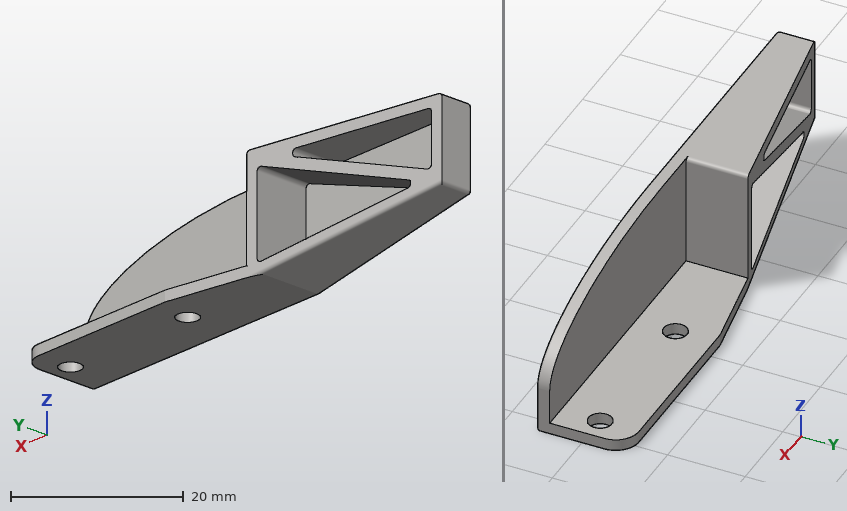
import cadquery as cq
import math

LENGTH = 64.25
DEPTH = 11.8
HEIGHT = 16.0

FRONT_WALL = 1.75
NOSE_LENGTH = 30.0
NOSE_HEIGHT = 10.0

TAPER_ANGLE = math.radians(10)
TAPER_SLOPE = math.tan(TAPER_ANGLE)
UNDERSIDE_TAPER_LENGTH = 26.0
END_DEPTH = 4.8
BACK_TAPER_LENGTH = (DEPTH - END_DEPTH) / TAPER_SLOPE

BLOCK_LENGTH = 28.0
BLOCK_WALL = 1.5
EDGE_RADIUS = 0.5

RIB_ANGLE = math.radians(19)
UPPER_POCKET_END = 21.4
LOWER_POCKET_START = 4.5

PLATE_THICKNESS = 1.5
PLATE_CORNER_RADIUS = 3.0
HOLE_DIAMETER = 3.0
HOLE_SPACING = 20.0
HOLE_END_MARGIN = 3.0
HOLE_BACK_MARGIN = 5.0


def underside_height(x):
    """Height of the slanted underside at position x."""
    return (UNDERSIDE_TAPER_LENGTH - x) * TAPER_SLOPE


def pocket_floor_height(x):
    """Height of the lower pocket's slanted floor, one wall above the underside."""
    return underside_height(x) + BLOCK_WALL / math.cos(TAPER_ANGLE)


def rib_bottom_height(x):
    """Height of the rib's lower face, which rises from the lower corner of the end face."""
    return underside_height(0) + x * math.tan(RIB_ANGLE)


def rib_top_height(x):
    """Height of the rib's upper face at position x."""
    return rib_bottom_height(x) + BLOCK_WALL / math.cos(RIB_ANGLE)


def extrude_back(outline, depth):
    """Extrude an XZ outline from its plane toward +Y."""
    return outline.extrude(-depth)


def make_side_prism():
    """Side outline over the full depth: tapered underside and elliptical nose."""
    outline = (
        cq.Workplane("XZ")
        .moveTo(LENGTH, HEIGHT - NOSE_HEIGHT)
        .ellipseArc(NOSE_LENGTH, NOSE_HEIGHT, 0, 90)
        .lineTo(0, HEIGHT)
        .lineTo(0, underside_height(0))
        .lineTo(UNDERSIDE_TAPER_LENGTH, 0)
        .lineTo(LENGTH, 0)
        .close()
    )
    return extrude_back(outline, DEPTH)


def make_plan_prism():
    """Plan outline over the full height: slanted back and one rounded corner."""
    return (
        cq.Workplane("XY")
        .lineTo(LENGTH, 0)
        .lineTo(LENGTH, DEPTH - PLATE_CORNER_RADIUS)
        .radiusArc((LENGTH - PLATE_CORNER_RADIUS, DEPTH), -PLATE_CORNER_RADIUS)
        .lineTo(BACK_TAPER_LENGTH, DEPTH)
        .lineTo(0, END_DEPTH)
        .close()
        .extrude(HEIGHT)
    )


def make_plate_clearance():
    """Open space above the mounting plate, behind the front wall."""
    return cq.Workplane("XY").box(
        LENGTH - BLOCK_LENGTH, DEPTH - FRONT_WALL, HEIGHT - PLATE_THICKNESS, centered=False
    ).translate((BLOCK_LENGTH, FRONT_WALL, PLATE_THICKNESS))


def make_pocket(corners):
    """Pocket with rounded corners, open at the back and closed by the front wall."""
    outline = cq.Workplane("XZ", origin=(0, FRONT_WALL, 0)).polyline(corners).close()
    return extrude_back(outline, DEPTH - FRONT_WALL).edges("|Y").fillet(EDGE_RADIUS)


def make_upper_pocket():
    """Pocket between the rib and the roof of the block."""
    roof = HEIGHT - BLOCK_WALL
    return make_pocket([
        (BLOCK_WALL, roof),
        (BLOCK_WALL, rib_top_height(BLOCK_WALL)),
        (UPPER_POCKET_END, rib_top_height(UPPER_POCKET_END)),
        (UPPER_POCKET_END, roof),
    ])


def make_lower_pocket():
    """Pocket between the rib and the floor of the block."""
    end = BLOCK_LENGTH - BLOCK_WALL
    return make_pocket([
        (LOWER_POCKET_START, rib_bottom_height(LOWER_POCKET_START)),
        (LOWER_POCKET_START, pocket_floor_height(LOWER_POCKET_START)),
        (end, pocket_floor_height(end)),
        (end, rib_bottom_height(end)),
    ])


def make_holes():
    """Two screw holes through the mounting plate."""
    last_x = LENGTH - HOLE_END_MARGIN
    hole_y = DEPTH - HOLE_BACK_MARGIN
    return (
        cq.Workplane("XY")
        .pushPoints([(last_x - HOLE_SPACING, hole_y), (last_x, hole_y)])
        .circle(HOLE_DIAMETER / 2)
        .extrude(PLATE_THICKNESS)
    )


def edges_near(points):
    """Selector for the edges whose midpoints are closest to the given points."""
    selector = cq.selectors.NearestToPointSelector(points[0])
    for point in points[1:]:
        selector = selector + cq.selectors.NearestToPointSelector(point)
    return selector


def round_edges(body):
    """Round the front outline, the narrow end, the underside's back edge and the step."""
    taper_middle = UNDERSIDE_TAPER_LENGTH / 2
    block_back = END_DEPTH + BLOCK_LENGTH * TAPER_SLOPE
    picks = edges_near([
        (0, END_DEPTH / 2, HEIGHT),
        (0, END_DEPTH / 2, underside_height(0)),
        (taper_middle, END_DEPTH + taper_middle * TAPER_SLOPE, underside_height(taper_middle)),
        (BLOCK_LENGTH, (FRONT_WALL + block_back) / 2, HEIGHT),
    ])
    front_outline = body.faces("<Y").edges()
    return front_outline.add(body.edges(picks)).fillet(EDGE_RADIUS)


body = make_side_prism().intersect(make_plan_prism()).cut(make_plate_clearance())
body = round_edges(body)
result = body.cut(make_upper_pocket()).cut(make_lower_pocket()).cut(make_holes())